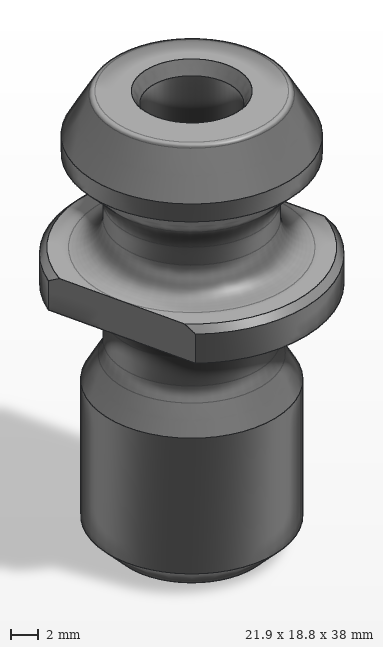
import cadquery as cq
import math

total_height = 38.0
flange_bottom = 21.75
flange_top = 24.75

shank_radius = 16.0 / 2
neck_radius = 12.8 / 2
head_radius = 18.8 / 2
flange_radius = 21.93 / 2
bore_radius = 7.5 / 2

shank_chamfer = 2.0
shank_top = 13.53
shoulder_angle = math.radians(60)
shoulder_blend = 2.47

flange_chamfer = 0.55
flange_flat_width = 17.8
flange_fillet = 2.47

head_underside_angle = math.radians(45)
head_underside_blend = 2.47
head_bottom = 32.75
head_band_top = 34.28
crown_angle = math.radians(60)
crown_edge_round = 0.5
countersink_width = 0.6
countersink_half_angle = math.radians(30)


def cone_to_neck(outer_radius, angle):
    """Axial length of a cone running from outer_radius to the neck."""
    return (outer_radius - neck_radius) * math.tan(angle)


def blend_points(corner_z, direction, angle, blend_radius):
    """Neck tangent, arc middle and cone tangent as (r, z) points.

    direction is +1 when the cone widens upward and -1 when it widens downward.
    """
    turn = math.pi / 2 - angle
    centre_r = neck_radius + blend_radius
    centre_z = corner_z - direction * blend_radius * math.tan(turn / 2)
    return [
        (
            centre_r - blend_radius * math.cos(share * turn),
            centre_z + direction * blend_radius * math.sin(share * turn),
        )
        for share in (0, 0.5, 1)
    ]


shoulder_corner = shank_top + cone_to_neck(shank_radius, shoulder_angle)
head_corner = head_bottom - cone_to_neck(head_radius, head_underside_angle)
shoulder_neck, shoulder_mid, shoulder_cone = blend_points(
    shoulder_corner, -1, shoulder_angle, shoulder_blend
)
head_neck, head_mid, head_cone = blend_points(
    head_corner, 1, head_underside_angle, head_underside_blend
)

crown_corner_radius = head_radius - (total_height - head_band_top) / math.tan(crown_angle)
crown_flat_radius = crown_corner_radius - crown_edge_round * math.tan(crown_angle / 2)
crown_start, crown_mid, crown_end = [
    (
        crown_flat_radius + crown_edge_round * math.sin(share * crown_angle),
        total_height - crown_edge_round * (1 - math.cos(share * crown_angle)),
    )
    for share in (1, 0.5, 0)
]

fillet_outer_radius = neck_radius + flange_fillet
fillet_mid_radius = fillet_outer_radius - flange_fillet * math.sqrt(0.5)
fillet_mid_drop = flange_fillet * (1 - math.sqrt(0.5))

body = (
    cq.Workplane("XZ")
    .moveTo(0, 0)
    .lineTo(shank_radius - shank_chamfer, 0)
    .lineTo(shank_radius, shank_chamfer)
    .lineTo(shank_radius, shank_top)
    .lineTo(*shoulder_cone)
    .threePointArc(shoulder_mid, shoulder_neck)
    .lineTo(neck_radius, flange_bottom - flange_fillet)
    .threePointArc(
        (fillet_mid_radius, flange_bottom - fillet_mid_drop),
        (fillet_outer_radius, flange_bottom),
    )
    .lineTo(flange_radius, flange_bottom)
    .lineTo(flange_radius, flange_top - flange_chamfer)
    .lineTo(flange_radius - flange_chamfer, flange_top)
    .lineTo(fillet_outer_radius, flange_top)
    .threePointArc(
        (fillet_mid_radius, flange_top + fillet_mid_drop),
        (neck_radius, flange_top + flange_fillet),
    )
    .lineTo(*head_neck)
    .threePointArc(head_mid, head_cone)
    .lineTo(head_radius, head_bottom)
    .lineTo(head_radius, head_band_top)
    .lineTo(*crown_start)
    .threePointArc(crown_mid, crown_end)
    .lineTo(0, total_height)
    .close()
    .revolve(360, (0, 0, 0), (0, 1, 0))
)

flange_height = flange_top - flange_bottom
for side in (-1, 1):
    flat_cut = (
        cq.Workplane("XY", origin=(0, side * (flange_flat_width + flange_radius) / 2, flange_bottom))
        .rect(2 * flange_radius, flange_radius)
        .extrude(flange_height)
    )
    body = body.cut(flat_cut)

bore = cq.Workplane("XY").circle(bore_radius).extrude(total_height)
countersink_depth = countersink_width / math.tan(countersink_half_angle)
bore_mouth = (
    cq.Workplane("XY", origin=(0, 0, total_height - countersink_depth))
    .circle(bore_radius)
    .workplane(offset=countersink_depth)
    .circle(bore_radius + countersink_width)
    .loft()
)
result = body.cut(bore).cut(bore_mouth)